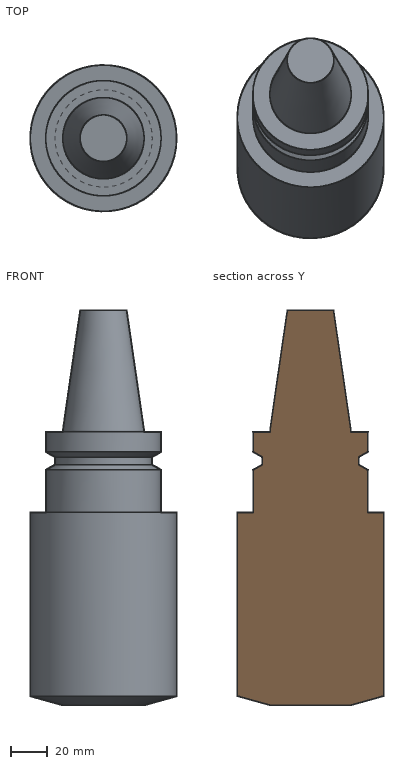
import cadquery as cq

total_height = 215.5

tip_flat_diameter = 44.4
body_diameter = 80.0
flange_diameter = 63.0
groove_diameter = 53.0
taper_large_diameter = 44.4
taper_small_diameter = 25.5

nose_height = 5.0
body_length = 100.2
collar_length = 23.3
flange_rim_length = 11.0
groove_floor_length = 4.0
groove_lower_bevel = 2.8
groove_upper_bevel = 2.8
taper_length = 65.5

body_top = nose_height + body_length
collar_top = body_top + collar_length
groove_bottom = collar_top + groove_lower_bevel
groove_top = groove_bottom + groove_floor_length
rim_bottom = groove_top + groove_upper_bevel
flange_top = rim_bottom + flange_rim_length
taper_bottom = total_height - taper_length

section_steps = [
    (tip_flat_diameter, 0),
    (body_diameter, nose_height),
    (body_diameter, body_top),
    (flange_diameter, body_top),
    (flange_diameter, collar_top),
    (groove_diameter, groove_bottom),
    (groove_diameter, groove_top),
    (flange_diameter, rim_bottom),
    (flange_diameter, flange_top),
    (taper_large_diameter, flange_top),
    (taper_large_diameter, taper_bottom),
    (taper_small_diameter, total_height),
]

half_section = [(0, 0)]
for diameter, level in section_steps:
    half_section.append((diameter / 2, level))
half_section.append((0, total_height))

result = cq.Workplane("XZ").polyline(half_section).close().revolve(360, (0, 0), (0, 1))